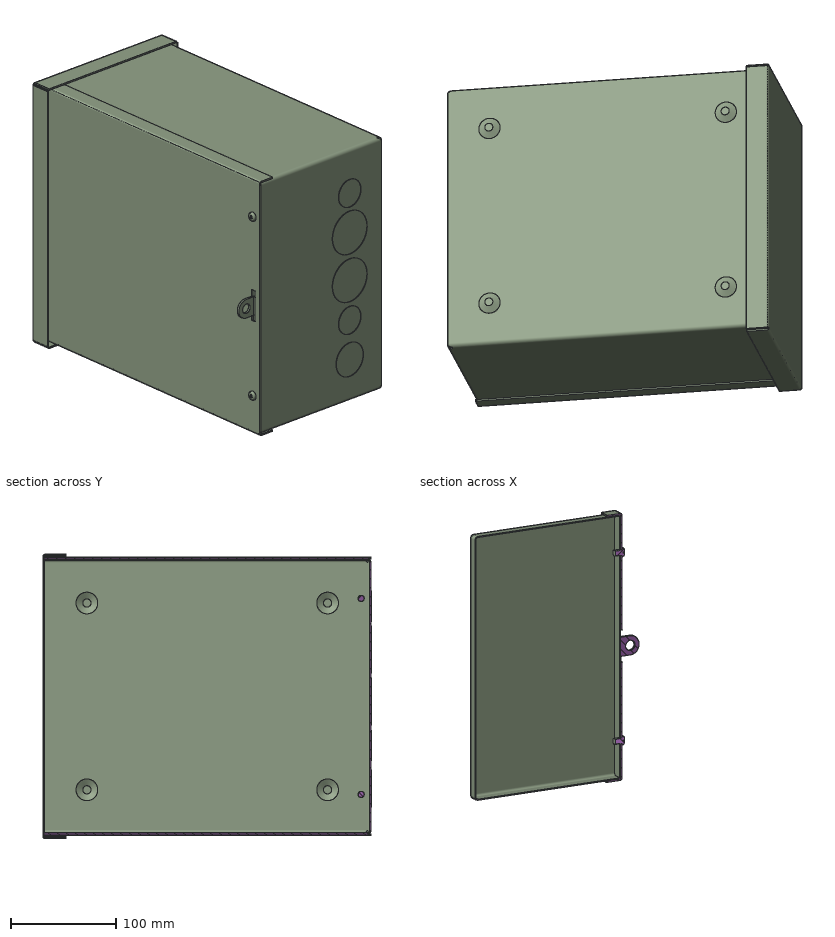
import cadquery as cq


length = 312.0
hood_width = 269.8
sheet = 1.5

hood_depth = 21.8
hood_front_y = -166.5
hood_bend = 2.5
hood_corner_notch = 2.2

cover_front_y = -159.0
cover_lip = 16.5
cover_bend = 2.5
cover_width = 264.2
cover_back_y = cover_front_y + sheet

knockout_height = 0.5
housing_end_x = length - knockout_height
housing_width = cover_width - 2 * sheet
housing_bend = 3.7
corner_relief_diameter = 3.0
corner_relief_inset = 3.0
flange_width = 18.7

knockout_y = -43.5
knockouts = [(85.5, 28.7), (44.5, 44.5), (-5.0, 44.5), (-46.5, 28.7), (-87.3, 35.0)]

dimple_height = 3.5
dimple_base_diameter = 20.5
dimple_top_diameter = 7.8
dimple_inset_x = 41.8
dimple_z = 88.5

screw_x = 302.0
screw_z = 93.0
screw_head_diameter = 9.0
screw_head_height = 2.5
screw_head_round = 2.0
screw_shank_diameter = 6.0
screw_shank_length = 7.8
screw_socket_diameter = 3.0
screw_socket_depth = 1.5

slot_x = 300.0
slot_width = 4.7
slot_top_z = 16.5
slot_bottom_z = -15.3
hasp_thickness = 2.2
hasp_tip_y = -177.5
hasp_width = 19.3
hasp_hole_diameter = 9.7
hasp_foot_thickness = 1.2


def block(x_range, y_range, z_range):
    """Box between two limits on each axis."""
    (x0, x1), (y0, y1), (z0, z1) = x_range, y_range, z_range
    return cq.Workplane("XY").box(x1 - x0, y1 - y0, z1 - z0, centered=False).translate((x0, y0, z0))


def centred(width):
    """Limits of a width centred on zero."""
    return (-width / 2, width / 2)


def rod(start_y, end_y, diameter, x, z):
    """Round bar along +Y."""
    return cq.Workplane(cq.Solid.makeCylinder(
        diameter / 2, end_y - start_y, cq.Vector(x, start_y, z), cq.Vector(0, 1, 0)))


def make_hood():
    """Pan with an end wall, four bent skirts and open square corners."""
    inner_width = hood_width - 2 * sheet
    hood = block((0, hood_depth), (hood_front_y, sheet), centred(hood_width))
    hood = hood.faces("<X").edges().fillet(hood_bend)
    hood = hood.cut(block((sheet, hood_depth), (hood_front_y + sheet, 0), centred(inner_width)))
    notch = block((0, hood_depth), centred(2 * hood_corner_notch), centred(2 * hood_corner_notch))
    for corner_y in (sheet, hood_front_y):
        for side in (-1, 1):
            hood = hood.cut(notch.translate((0, corner_y, side * hood_width / 2)))
    return hood


def make_dimple(x, z):
    """Raised outside and pressed hollow of one dimple, both cone frustums narrowing outward."""
    outer = cq.Solid.makeCone(
        dimple_base_diameter / 2, dimple_top_diameter / 2, dimple_height,
        cq.Vector(x, 0, z), cq.Vector(0, 1, 0))
    return cq.Workplane(outer), cq.Workplane(outer.translate(cq.Vector(0, -sheet, 0)))


def make_housing():
    """Folded tray with a screw flange, dimples, knockouts, corner reliefs and screw holes."""
    folded_edges = "(|X and >Y) or (|Y and >X) or (|Z and >Y and >X)"
    housing = block((sheet, housing_end_x), (cover_back_y, 0), centred(housing_width))
    housing = housing.edges(folded_edges).fillet(housing_bend)

    inner_end_x = housing_end_x - sheet
    inside = block((sheet, inner_end_x), (cover_back_y, -sheet), centred(housing_width - 2 * sheet))
    inside = inside.edges(folded_edges).fillet(housing_bend - sheet)
    flange = block((inner_end_x - flange_width, inner_end_x), (cover_back_y, cover_back_y + sheet),
                   centred(housing_width - 2 * sheet))
    housing = housing.cut(inside.cut(flange))

    for x in (dimple_inset_x, length - dimple_inset_x):
        for z in (-dimple_z, dimple_z):
            raised, pressed = make_dimple(x, z)
            housing = housing.union(raised).cut(pressed)

    for z, diameter in knockouts:
        disc = cq.Solid.makeCylinder(
            diameter / 2, knockout_height + sheet / 2,
            cq.Vector(housing_end_x - sheet / 2, knockout_y, z), cq.Vector(1, 0, 0))
        housing = housing.union(cq.Workplane(disc))

    relief = cq.Workplane("XY").circle(corner_relief_diameter / 2).extrude(housing_width / 2, both=True)
    housing = housing.cut(relief.translate((housing_end_x - corner_relief_inset, -corner_relief_inset, 0)))

    for side in (-1, 1):
        housing = housing.cut(make_shank(side * screw_z))
    return housing


def make_cover():
    """Channel with two side lips, screw holes and the hasp slot."""
    cover = block((sheet, housing_end_x), (cover_front_y, cover_front_y + cover_lip), centred(cover_width))
    cover = cover.faces("<Y").edges("|X").fillet(cover_bend)
    cover = cover.cut(block((sheet, housing_end_x), (cover_back_y, cover_front_y + cover_lip),
                            centred(housing_width)))
    cover = cover.cut(block((slot_x, slot_x + slot_width), (cover_front_y, cover_back_y),
                            (slot_bottom_z, slot_top_z)))
    for side in (-1, 1):
        cover = cover.cut(make_shank(side * screw_z))
    return cover


def make_shank(z):
    """Screw shank, which also shapes the holes it fills."""
    return rod(cover_front_y, cover_front_y + screw_shank_length, screw_shank_diameter, screw_x, z)


def make_screw(z):
    """Round-headed screw with a round socket, seated on the cover."""
    head_top_y = cover_front_y - screw_head_height
    head = rod(head_top_y, cover_front_y, screw_head_diameter, screw_x, z)
    head = head.faces("<Y").edges().fillet(screw_head_round)
    socket = rod(head_top_y, head_top_y + screw_socket_depth, screw_socket_diameter, screw_x, z)
    return head.union(make_shank(z)).cut(socket)


def make_hasp():
    """Round-ended padlock tab with a foot that lies in the lower part of the cover slot."""
    eye_y = hasp_tip_y + hasp_width / 2
    tab_end_x = slot_x + hasp_thickness
    tab = (
        cq.Workplane("YZ", origin=(slot_x, 0, 0))
        .moveTo(cover_back_y, -hasp_width / 2)
        .lineTo(eye_y, -hasp_width / 2)
        .threePointArc((hasp_tip_y, 0), (eye_y, hasp_width / 2))
        .lineTo(cover_back_y, hasp_width / 2)
        .close()
        .moveTo(eye_y, 0)
        .circle(hasp_hole_diameter / 2)
        .extrude(hasp_thickness)
    )
    foot = block((tab_end_x, slot_x + slot_width), (cover_back_y - hasp_foot_thickness, cover_back_y),
                 (slot_bottom_z, hasp_width / 2))
    return tab.union(foot)


hood = make_hood()
housing = make_housing()
cover = make_cover()
screws = [make_screw(side * screw_z) for side in (-1, 1)]
hasp = make_hasp()

result = cq.Compound.makeCompound(
    [hood.val(), housing.val(), cover.val(), *[screw.val() for screw in screws], hasp.val()]
)